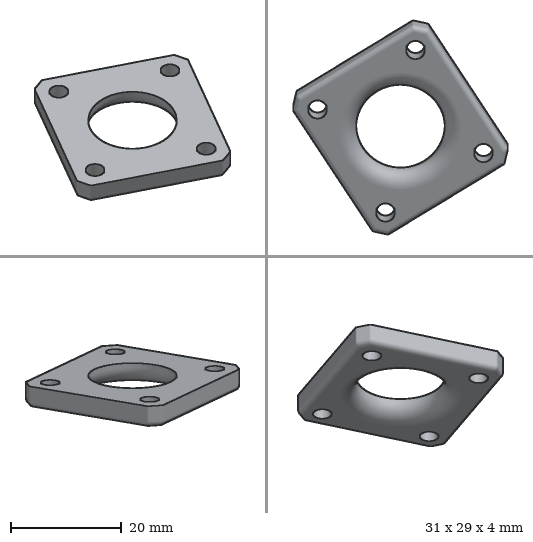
import cadquery as cq

length = 31.0
width = 29.0
thickness = 4.0
corner_cut = 2.0
corner_round = 0.5
bottom_round = 1.0

bore_diameter = 16.0
bore_bottom_round = 3.0
bolt_diameter = 3.4
bolt_spacing_x = 23.0
bolt_spacing_y = 21.0


def rounded_plate():
    """Plate with cut corners, softened upright edges and a rounded bottom rim."""
    plate = cq.Workplane("XY").box(length, width, thickness, centered=(True, True, False))
    plate = plate.edges("|Z").chamfer(corner_cut)
    plate = plate.edges("|Z").fillet(corner_round)
    return plate.faces("<Z").edges().fillet(bottom_round)


def bore_cutter():
    """Central bore whose bottom mouth flares outward along a quarter round."""
    radius = bore_diameter / 2
    return (
        cq.Workplane("XZ")
        .lineTo(radius + bore_bottom_round, 0)
        .radiusArc((radius, bore_bottom_round), bore_bottom_round)
        .lineTo(radius, thickness)
        .lineTo(0, thickness)
        .close()
        .revolve(360, (0, 0), (0, 1))
    )


def bolt_cutters():
    """Four through holes, one near each corner."""
    return (
        cq.Workplane("XY")
        .rect(bolt_spacing_x, bolt_spacing_y, forConstruction=True)
        .vertices()
        .circle(bolt_diameter / 2)
        .extrude(thickness)
    )


result = rounded_plate().cut(bore_cutter()).cut(bolt_cutters())